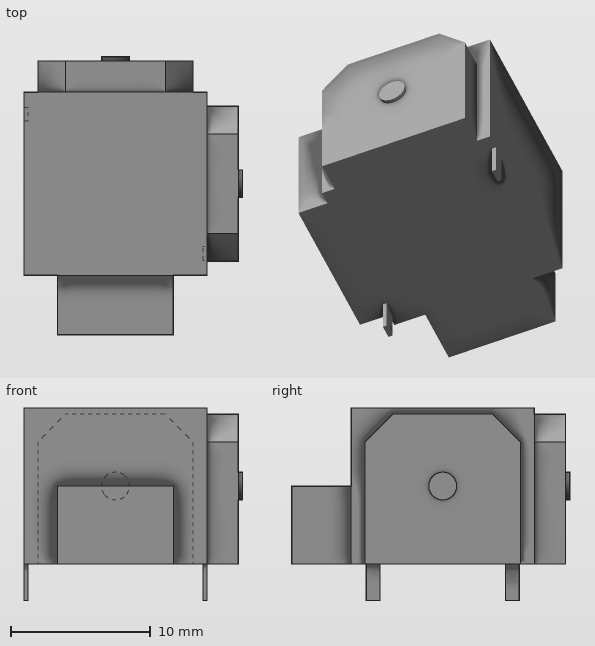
import cadquery as cq

body_side = 13.13
body_height = 11.2
half_body = body_side / 2

front_block_width = 8.32
front_block_depth = 4.27
front_block_height = body_height / 2

plate_width = 11.13
plate_height = 10.75
plate_thickness = 2.25
plate_chamfer = 2.0

boss_diameter = 2.0
boss_length = 0.3
boss_center_z = body_height / 2

pin_thickness = 0.3
pin_width = 1.0
pin_length = 2.61
pin_pitch = 9.98


def make_body():
    return cq.Workplane("XY").box(body_side, body_side, body_height, centered=(True, True, False))


def make_front_block():
    block = cq.Workplane("XY").box(
        front_block_width, front_block_depth, front_block_height, centered=(True, True, False)
    )
    return block.translate((0, -half_body - front_block_depth / 2, 0))


def make_side_plate():
    """Plate and boss on the +X face."""
    plate = (
        cq.Workplane("XY")
        .box(plate_thickness, plate_width, plate_height, centered=(False, True, False))
        .edges("|X and >Z")
        .chamfer(plate_chamfer)
        .translate((half_body, 0, 0))
    )
    boss = (
        cq.Workplane("YZ", origin=(half_body + plate_thickness, 0, boss_center_z))
        .circle(boss_diameter / 2)
        .extrude(boss_length)
    )
    return plate.union(boss)


def make_pin(x_side, y_side):
    """Pin flush with one X face of the body; each side is +1 or -1."""
    pin = cq.Workplane("XY").box(pin_thickness, pin_width, pin_length)
    x = x_side * (half_body - pin_thickness / 2)
    y = y_side * pin_pitch / 2
    return pin.translate((x, y, -pin_length / 2))


side_plate = make_side_plate()
back_plate = side_plate.rotate((0, 0, 0), (0, 0, 1), 90)

result = make_body().union(make_front_block()).union(side_plate).union(back_plate)

for x_side, y_side in ((-1, 1), (1, -1)):
    result = result.union(make_pin(x_side, y_side))